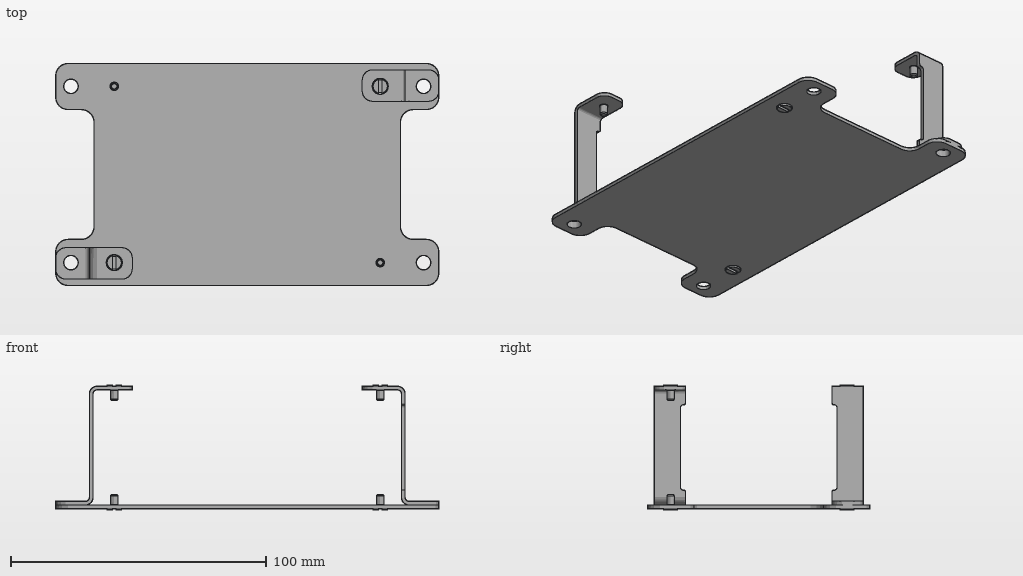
import cadquery as cq

sheet = 1.5
bend_inner = 1.5
bend_outer = bend_inner + sheet

plate_length = 150.0
plate_width = 87.0
waist_length = 120.0
ear_width = 18.2
plate_radius = 5.0

frame_height = 48.0
strip_width = 12.3
strip_inset = 2.5
strip_radius = 4.0
flange_end = 45.0
wall_outer = 61.8

relief_depth = 2.0
relief_margin = 7.4
relief_mouth_radius = 0.8
relief_floor_radius = 1.0

row_y = 34.5
mount_x = 69.0
mount_diameter = 5.5
screw_x = 52.0

shank_diameter = 3.0
shank_reach = 4.0
shank_chamfer = 0.5
head_diameter = 5.5
head_proud = 0.52
seat_diameter = 6.3
slot_width = 1.2
slot_depth = 1.2

plate_end = plate_length / 2
wall_inner = wall_outer - sheet
foot_top = 2 * sheet
strip_outer_y = plate_width / 2 - strip_inset
strip_inner_y = strip_outer_y - strip_width
corners = [(side_x, side_y) for side_x in (-1, 1) for side_y in (-1, 1)]


def make_plate():
    """Flat plate with a cut-out in each end that leaves four ears."""
    plate = cq.Workplane("XY").box(plate_length, plate_width, sheet, centered=(True, True, False))
    cutouts = (
        cq.Workplane("XY")
        .pushPoints([(-plate_end, 0), (plate_end, 0)])
        .rect(plate_length - waist_length, plate_width - 2 * ear_width)
        .extrude(sheet)
    )
    return plate.cut(cutouts).edges("|Z").fillet(plate_radius)


def make_relief():
    """Cutter for the rounded notch in the wall edge that faces the middle of the plate."""
    floor_y = strip_inner_y + relief_depth
    low = relief_margin
    high = frame_height - relief_margin
    mouth = relief_mouth_radius
    corner = relief_floor_radius
    return (
        cq.Workplane("YZ", origin=(wall_inner, 0, 0))
        .moveTo(strip_inner_y, low - mouth)
        .radiusArc((strip_inner_y + mouth, low), mouth)
        .lineTo(floor_y - corner, low)
        .radiusArc((floor_y, low + corner), -corner)
        .lineTo(floor_y, high - corner)
        .radiusArc((floor_y - corner, high), -corner)
        .lineTo(strip_inner_y + mouth, high)
        .radiusArc((strip_inner_y, high + mouth), mouth)
        .close()
        .extrude(sheet)
    )


def make_bracket():
    """Z-bent strip on the +X, +Y ear: the foot points outwards and the flange inwards."""
    strip = (
        cq.Workplane("XZ", origin=(0, strip_inner_y, 0))
        .moveTo(plate_end, sheet)
        .lineTo(wall_inner + bend_outer, sheet)
        .radiusArc((wall_inner, sheet + bend_outer), bend_outer)
        .lineTo(wall_inner, frame_height - bend_outer)
        .radiusArc((wall_inner - bend_inner, frame_height - sheet), -bend_inner)
        .lineTo(flange_end, frame_height - sheet)
        .lineTo(flange_end, frame_height)
        .lineTo(wall_outer - bend_outer, frame_height)
        .radiusArc((wall_outer, frame_height - bend_outer), bend_outer)
        .lineTo(wall_outer, foot_top + bend_inner)
        .radiusArc((wall_outer + bend_inner, foot_top), -bend_inner)
        .lineTo(plate_end, foot_top)
        .close()
        .extrude(-strip_width)
    )
    strip = strip.edges("|Z and (<X or >X)").fillet(strip_radius)
    return strip.cut(make_relief())


def make_screw():
    """Screw along Z with its shank up; the sheet it clamps lies from Z = 0 to Z = sheet."""
    seat_radius = seat_diameter / 2
    head_radius = head_diameter / 2
    shank_radius = shank_diameter / 2
    tip = sheet + shank_reach
    body = (
        cq.Workplane("XZ")
        .moveTo(0, -head_proud)
        .lineTo(head_radius, -head_proud)
        .lineTo(head_radius, seat_radius - head_radius)
        .lineTo(shank_radius, seat_radius - shank_radius)
        .lineTo(shank_radius, tip - shank_chamfer)
        .lineTo(shank_radius - shank_chamfer, tip)
        .lineTo(0, tip)
        .close()
        .revolve(360, (0, 0, 0), (0, 1, 0))
    )
    slot = (
        cq.Workplane("XY", origin=(0, 0, -head_proud))
        .rect(slot_width, 2 * head_diameter)
        .extrude(slot_depth)
    )
    return body.cut(slot)


def make_seat():
    """Cutter for the countersunk screw hole through a sheet from Z = 0 to Z = sheet."""
    seat_radius = seat_diameter / 2
    exit_radius = seat_radius - sheet
    return cq.Workplane("XY").add(cq.Solid.makeCone(seat_radius, exit_radius, sheet))


def place(part, side_x, side_y):
    """Move a screw or seat to its corner: head down in the plate, or head up in a flange."""
    if side_x == side_y:
        part = part.rotate((0, 0, 0), (1, 0, 0), 180).translate((0, 0, frame_height))
    return part.translate((side_x * screw_x, side_y * row_y, 0))


def make_chassis():
    """Plate and both brackets in one piece, with the ear holes and the screw seats."""
    bracket = make_bracket()
    opposite_bracket = bracket.rotate((0, 0, 0), (0, 0, 1), 180)
    mount_holes = (
        cq.Workplane("XY")
        .pushPoints([(side_x * mount_x, side_y * row_y) for side_x, side_y in corners])
        .circle(mount_diameter / 2)
        .extrude(foot_top)
    )
    body = make_plate().union(bracket).union(opposite_bracket).cut(mount_holes)
    for side_x, side_y in corners:
        body = body.cut(place(make_seat(), side_x, side_y))
    return body


chassis = make_chassis()
screws = [place(make_screw(), side_x, side_y) for side_x, side_y in corners]

result = cq.Compound.makeCompound([chassis.val(), *[screw.val() for screw in screws]])